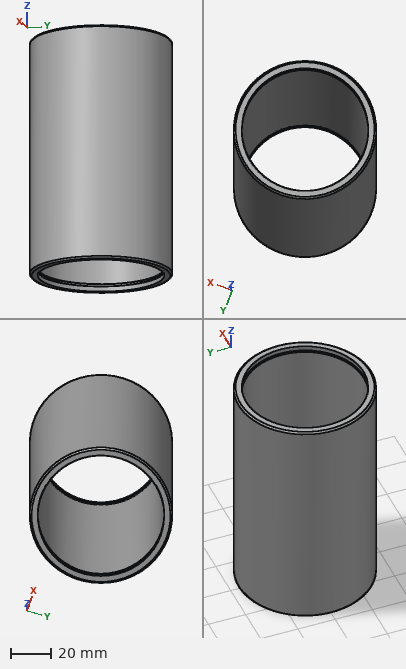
import cadquery as cq

length = 120.0
outer_diameter = 71.0
bore_diameter = 63.0
edge_chamfer = 1.0
groove_depth = 0.7
groove_width = 1.2
groove_inset = 2.6


def ring_groove(base_z):
    """Disc that cuts a retaining-ring groove into the bore wall."""
    groove_radius = bore_diameter / 2 + groove_depth
    return cq.Workplane("XY", origin=(0, 0, base_z)).circle(groove_radius).extrude(groove_width)


body = cq.Workplane("XY").circle(outer_diameter / 2).extrude(length)
body = body.faces("<Z or >Z").edges().chamfer(edge_chamfer)

bore = cq.Workplane("XY").circle(bore_diameter / 2).extrude(length)
result = body.cut(bore)

for groove_base in (groove_inset, length - groove_inset - groove_width):
    result = result.cut(ring_groove(groove_base))